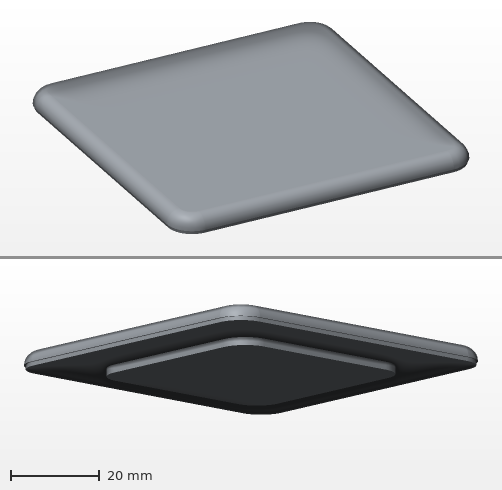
import cadquery as cq

COVER_SIDE = 76.2
TOTAL_HEIGHT = 6.0

PAD_SIDE = 49.75
PAD_HEIGHT = 1.8
PAD_CORNER_RADIUS = 6.25
PAD_TAPER_ANGLE = 1.0
PLATE_INSET = 0.4
PLATE_SIDE = COVER_SIDE - 2 * PLATE_INSET
PLATE_HEIGHT = 0.9

COVER_BASE_Z = PAD_HEIGHT + PLATE_HEIGHT
COVER_HEIGHT = TOTAL_HEIGHT - COVER_BASE_Z
COVER_CORNER_RADIUS = 6.5
PLATE_CORNER_RADIUS = COVER_CORNER_RADIUS - PLATE_INSET
EDGE_ROUND_RADIUS = COVER_HEIGHT


def rounded_square(side, height, corner_radius, base_z):
    """Square plate centred on Z with rounded vertical corners."""
    plate = cq.Workplane("XY").workplane(offset=base_z).rect(side, side).extrude(height)
    return plate.edges("|Z").fillet(corner_radius)


def make_cover():
    """Flat square cover lying on the base, with a fully rounded upper edge."""
    blank = rounded_square(
        COVER_SIDE, 2 * COVER_HEIGHT, COVER_CORNER_RADIUS, COVER_BASE_Z - COVER_HEIGHT
    )
    blank = blank.faces(">Z").edges().fillet(EDGE_ROUND_RADIUS)
    return blank.copyWorkplane(cq.Workplane("XY", origin=(0, 0, COVER_BASE_Z))).split(keepTop=True)


def make_pad():
    """Rounded square pad, extruded downward from the plate with a slight taper."""
    outline = cq.Sketch().rect(PAD_SIDE, PAD_SIDE).vertices().fillet(PAD_CORNER_RADIUS)
    top_plane = cq.Workplane("XY").workplane(offset=PAD_HEIGHT)
    return top_plane.placeSketch(outline).extrude(-PAD_HEIGHT, taper=PAD_TAPER_ANGLE)


def make_base():
    """Base plate with its pad, as one solid."""
    plate = rounded_square(PLATE_SIDE, PLATE_HEIGHT, PLATE_CORNER_RADIUS, PAD_HEIGHT)
    return plate.union(make_pad())


cover = make_cover()
base = make_base()
result = cq.Compound.makeCompound([cover.solids().val(), base.solids().val()])